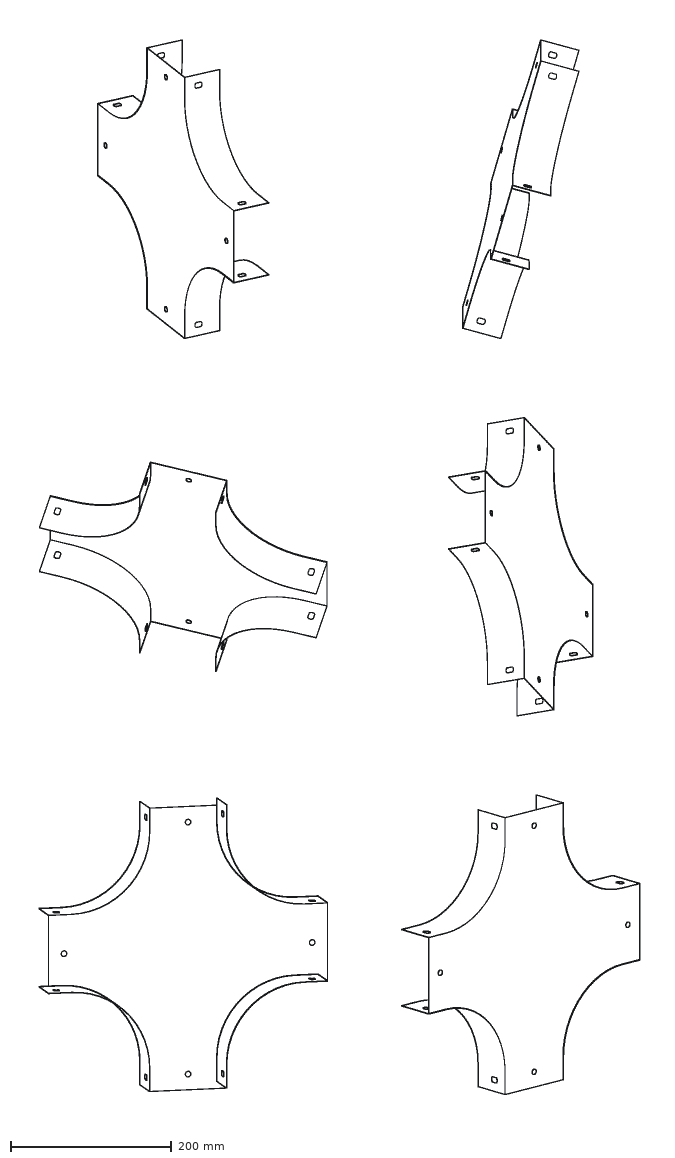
import cadquery as cq

span = 360.0
arm_width = 100.0
bend_radius = 100.0
depth = 50.0
sheet = 0.8

hole_diameter = 7.0
plate_hole_inset = 20.0
slot_width = 7.0
slot_length = 10.0
slot_inset = 15.0
slot_height = 20.0

tip = span / 2
half_width = arm_width / 2
arc_centre = half_width + bend_radius
plate_face = -depth / 2
hole_station = tip - plate_hole_inset
slot_station = tip - slot_inset


def cross_prism(half, radius, start_y, length):
    """Four-armed prism along +Y whose inner corners are concave arcs."""
    quarter_cut = (
        cq.Workplane("XZ", origin=(0, start_y, 0))
        .moveTo(half, tip)
        .lineTo(half, arc_centre)
        .radiusArc((arc_centre, half), -radius)
        .lineTo(tip, half)
        .lineTo(tip, tip)
        .close()
        .extrude(-length)
    )
    prism = (
        cq.Workplane("XZ", origin=(0, start_y, 0))
        .rect(span, span)
        .extrude(-length)
    )
    for quarter in range(4):
        prism = prism.cut(quarter_cut.rotate((0, 0, 0), (0, 1, 0), 90 * quarter))
    return prism


def tray_shell():
    """Plate with walls along the curved corners, open at +Y and at the arm tips."""
    outside = cross_prism(half_width, bend_radius, plate_face, depth)
    inside = cross_prism(half_width - sheet, bend_radius + sheet, plate_face + sheet, depth)
    return outside.cut(inside)


def plate_holes():
    """One round cutter through the plate near each arm tip."""
    return (
        cq.Workplane("XZ", origin=(0, plate_face, 0))
        .polarArray(hole_station, 0, 360, 4)
        .circle(hole_diameter / 2)
        .extrude(-sheet)
    )


def wall_slots():
    """Slot cutters through both Z-facing walls of the two arms that lie along X."""
    disc = cq.Workplane("XY").circle(slot_length / 2).extrude(half_width, both=True)
    flats = cq.Workplane("XY").rect(slot_width, slot_length).extrude(half_width, both=True)
    slot = disc.intersect(flats).translate((0, plate_face + slot_height, 0))
    left_slot = slot.translate((-slot_station, 0, 0))
    right_slot = slot.translate((slot_station, 0, 0))
    return left_slot.union(right_slot)


slots_x_arms = wall_slots()
slots_z_arms = slots_x_arms.rotate((0, 0, 0), (0, 1, 0), 90)

result = tray_shell().cut(plate_holes()).cut(slots_x_arms).cut(slots_z_arms)